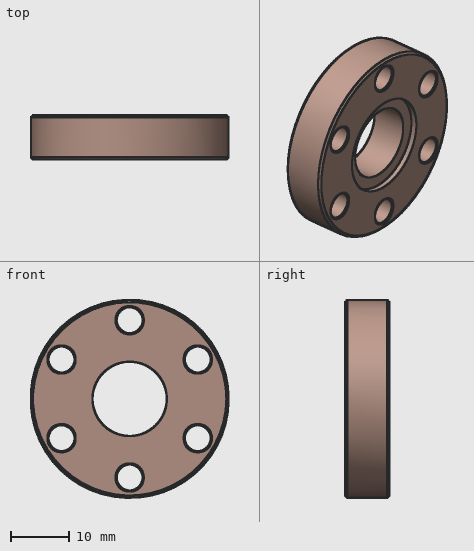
import cadquery as cq

outer_diameter = 34.0
thickness = 7.6
rim_chamfer = 0.4
front_y = -thickness / 2
back_y = thickness / 2

bore_diameter = 12.7
recess_diameter = 17.0
recess_depth = 1.12

hole_count = 6
hole_diameter = 4.45
hole_circle_radius = 13.5
hole_chamfer = 0.2


def cylinder_along_y(diameter, start_y, end_y):
    """Cylinder on the Y axis between two positions."""
    return cq.Workplane("XZ", origin=(0, end_y, 0)).circle(diameter / 2).extrude(end_y - start_y)


def make_disc():
    """Solid disc centred on the origin, chamfered around both rims."""
    return cylinder_along_y(outer_diameter, front_y, back_y).faces("<Y or >Y").edges().chamfer(rim_chamfer)


def make_bolt_hole(index):
    """Cutter for one through hole, flared at both ends to break the hole edges."""
    radius = hole_diameter / 2
    flare_radius = radius + hole_chamfer
    cutter = (
        cq.Workplane("XY")
        .moveTo(0, front_y)
        .lineTo(flare_radius, front_y)
        .lineTo(radius, front_y + hole_chamfer)
        .lineTo(radius, back_y - hole_chamfer)
        .lineTo(flare_radius, back_y)
        .lineTo(0, back_y)
        .close()
        .revolve(360, (0, 0, 0), (0, 1, 0))
    )
    first_hole = cutter.translate((0, 0, hole_circle_radius))
    return first_hole.rotate((0, 0, 0), (0, 1, 0), index * 360 / hole_count)


result = make_disc()
result = result.cut(cylinder_along_y(bore_diameter, front_y, back_y))
result = result.cut(cylinder_along_y(recess_diameter, back_y - recess_depth, back_y))
for hole_index in range(hole_count):
    result = result.cut(make_bolt_hole(hole_index))